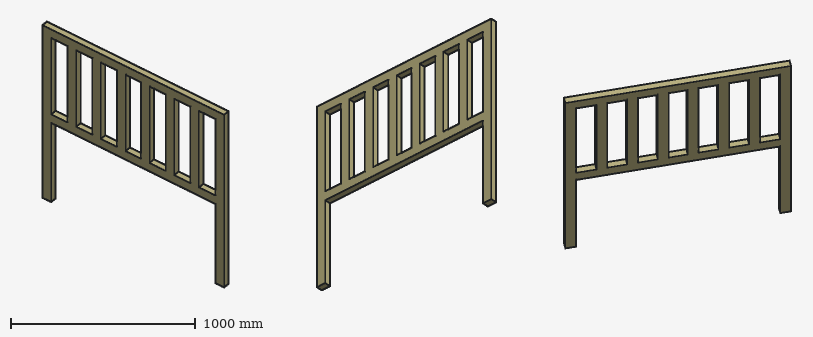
import cadquery as cq

width = 1250.0
depth = 40.0
height = 1200.0

bar_width = 60.0
leg_height = 550.0
window_bottom = leg_height + bar_width
window_top = height - bar_width
inner_width = width - 2 * bar_width

end_bay = 112.0
middle_bay = 105.0
slat_count = 6
side_bay_count = 4
side_bay = (inner_width - slat_count * bar_width - 2 * end_bay - middle_bay) / side_bay_count
half_row = [end_bay, side_bay, side_bay]
bay_widths = half_row + [middle_bay] + half_row[::-1]


def through_opening(left, opening_width, bottom, top):
    """Opening cut right through the depth, given its left edge and vertical span."""
    opening = cq.Workplane("XY").box(opening_width, depth, top - bottom, centered=False)
    return opening.translate((left, 0, bottom))


result = cq.Workplane("XY").box(width, depth, height, centered=False)

result = result.cut(through_opening(bar_width, inner_width, 0, leg_height))

bay_left = bar_width
for bay_width in bay_widths:
    result = result.cut(through_opening(bay_left, bay_width, window_bottom, window_top))
    bay_left += bay_width + bar_width